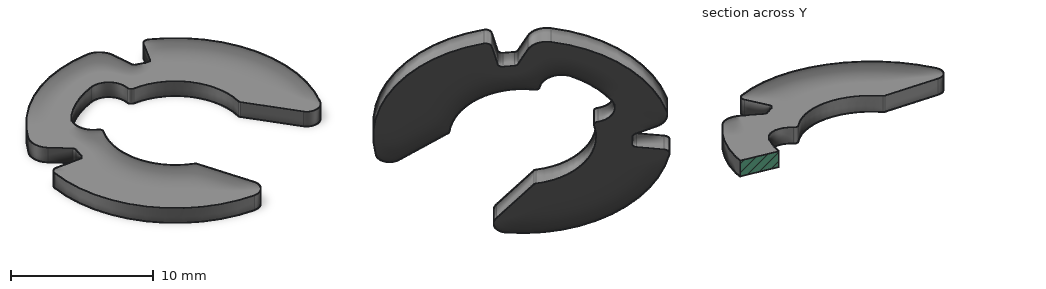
import cadquery as cq
import math

thickness = 1.28
outer_radius = 10.45
bore_radius = 5.15
clear = 2 * outer_radius

relief_radius = 7.36
bay_radius = 1.55
bay_angle = 165.3
bay_distance = relief_radius - bay_radius

mouth_angle = 52.2
mouth_flare = 7.2

notch_top = (-4.41, 6.35)
notch_bottom = (-5.4, 5.52)
top_flank_angle = 125.1
bottom_flank_angle = 161.1

tip_radius = 0.98
mouth_round = 0.2
lip_round = 0.33
floor_round = 0.31
notch_tip_round = 0.45
ear_round = 1.46


def polar(distance, angle):
    """Point at a distance and an angle in degrees from the ring centre."""
    a = math.radians(angle)
    return (distance * math.cos(a), distance * math.sin(a))


def along(point, angle, distance):
    """Point reached from another by moving in a direction."""
    dx, dy = polar(distance, angle)
    return (point[0] + dx, point[1] + dy)


def rim_crossing(point, angle):
    """Where a ray from a point inside the ring meets the outer rim."""
    ux, uy = polar(1, angle)
    forward = point[0] * ux + point[1] * uy
    gap = outer_radius**2 - point[0] ** 2 - point[1] ** 2
    return along(point, angle, math.sqrt(forward**2 + gap) - forward)


def mirrored(point):
    return (point[0], -point[1])


def prism(points):
    return cq.Workplane("XY").polyline(points).close().extrude(thickness)


def disc(radius, center=(0, 0)):
    return cq.Workplane("XY").center(*center).circle(radius).extrude(thickness)


def relief():
    """Sector between the two bay centre lines, plus the bays."""
    bay_center = polar(bay_distance, bay_angle)
    rim_end = polar(relief_radius, bay_angle)
    sector = (
        cq.Workplane("XY")
        .lineTo(*rim_end)
        .threePointArc((-relief_radius, 0), mirrored(rim_end))
        .close()
        .extrude(thickness)
    )
    return sector.union(disc(bay_radius, bay_center)).union(disc(bay_radius, mirrored(bay_center)))


def mouth():
    outer = along(mouth_corner, mouth_flare, clear)
    return prism([(0, 0), mouth_corner, outer, mirrored(outer), mirrored(mouth_corner)])


def notch():
    top_outer = along(notch_top, top_flank_angle, clear)
    bottom_outer = along(notch_bottom, bottom_flank_angle, clear)
    return prism([notch_top, top_outer, bottom_outer, notch_bottom])


def round_corners(body, point, radius):
    """Round the upright edge nearest a point, and its mirror image."""
    for x, y in (point, mirrored(point)):
        nearest = cq.selectors.NearestToPointSelector((x, y, thickness / 2))
        body = body.edges("|Z").edges(nearest).fillet(radius)
    return body


mouth_corner = polar(bore_radius, mouth_angle)
ring = disc(outer_radius).cut(disc(bore_radius)).cut(relief()).cut(mouth())
ring = ring.cut(notch()).cut(notch().mirror("XZ"))

lip_cosine = (bore_radius**2 + bay_distance**2 - bay_radius**2) / (2 * bore_radius * bay_distance)
lip = polar(bore_radius, bay_angle - math.degrees(math.acos(lip_cosine)))

ring = round_corners(ring, rim_crossing(mouth_corner, mouth_flare), tip_radius)
ring = round_corners(ring, mouth_corner, mouth_round)
ring = round_corners(ring, lip, lip_round)
ring = round_corners(ring, rim_crossing(notch_bottom, bottom_flank_angle), ear_round)
ring = round_corners(ring, rim_crossing(notch_top, top_flank_angle), notch_tip_round)
ring = round_corners(ring, notch_top, floor_round)
ring = round_corners(ring, notch_bottom, floor_round)

result = ring